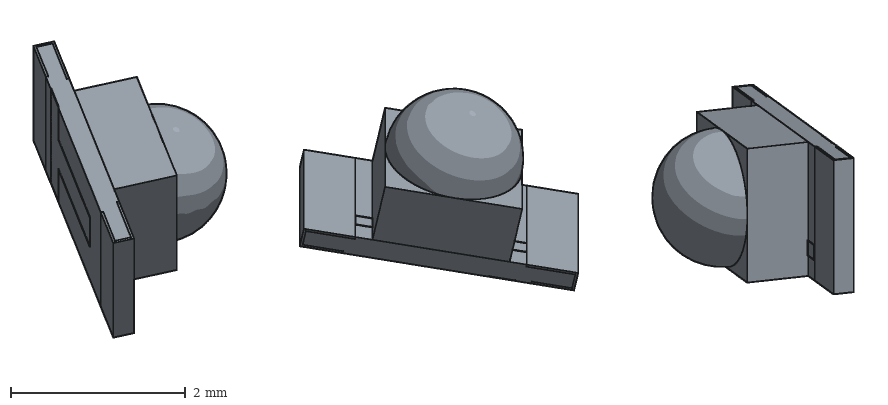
import cadquery as cq


board_length = 3.2
board_width = 1.6
board_thickness = 0.25

plating_thickness = 0.03
solder_pad_length = 0.5
top_pad_length = 0.6

mark_depth = 0.01
mark_bar_start = -0.912
mark_bar_width = 0.3
mark_stem_length = 1.265
mark_stem_width = 0.5

lens_width = board_width
lens_block_height = 0.75
dome_radius = lens_width / 2

trace_thickness = 0.01
trace_width = 0.18
trace_center_z = -0.465
trace_length = board_length / 2 - top_pad_length - lens_width / 2


def box_between(x_range, y_range, z_range):
    """Axis-aligned box given its (low, high) limits on each axis."""
    (x0, x1), (y0, y1), (z0, z1) = x_range, y_range, z_range
    return cq.Workplane("XY").box(x1 - x0, y1 - y0, z1 - z0, centered=False).translate((x0, y0, z0))


def centered_range(width, center=0.0):
    """(low, high) limits of a width placed about a centre."""
    return (center - width / 2, center + width / 2)


def make_terminal(side):
    """C-shaped plating wrapped around one end of the board; side is -1 or +1 along X."""
    end_x = side * board_length / 2
    inner_end_x = end_x - side * plating_thickness
    solder_edge_x = end_x - side * solder_pad_length
    top_edge_x = end_x - side * top_pad_length
    top_pad_y = board_thickness - plating_thickness
    return (
        cq.Workplane("XY")
        .moveTo(solder_edge_x, 0)
        .lineTo(end_x, 0)
        .lineTo(end_x, board_thickness)
        .lineTo(top_edge_x, board_thickness)
        .lineTo(top_edge_x, top_pad_y)
        .lineTo(inner_end_x, top_pad_y)
        .lineTo(inner_end_x, plating_thickness)
        .lineTo(solder_edge_x, plating_thickness)
        .close()
        .extrude(board_width / 2, both=True)
    )


def make_polarity_mark():
    """T-shaped inlay: a bar across the board with a stem pointing to +X."""
    bar_end = mark_bar_start + mark_bar_width
    stem_end = bar_end + mark_stem_length
    depth_range = (0, mark_depth)
    bar = box_between((mark_bar_start, bar_end), depth_range, centered_range(board_width))
    stem = box_between((bar_end, stem_end), depth_range, centered_range(mark_stem_width))
    return bar.union(stem)


def make_board(inlays):
    """Board with recesses that match the bodies set flush into it."""
    board = box_between(
        centered_range(board_length), (0, board_thickness), centered_range(board_width)
    )
    for inlay in inlays:
        board = board.cut(inlay)
    return board


def make_lens():
    """Square block on the board, topped by a hemisphere as wide as the block."""
    block_top_y = board_thickness + lens_block_height
    block = box_between(
        centered_range(lens_width), (board_thickness, block_top_y), centered_range(lens_width)
    )
    dome = (
        cq.Workplane("XY")
        .moveTo(0, block_top_y)
        .lineTo(dome_radius, block_top_y)
        .radiusArc((0, block_top_y + dome_radius), -dome_radius)
        .close()
        .revolve(360, axisStart=(0, 0), axisEnd=(0, 1))
    )
    return block.union(dome)


def make_trace(side):
    """Thin strip on the lens side of the board, between the lens and one terminal."""
    center_x = side * (lens_width + trace_length) / 2
    return box_between(
        centered_range(trace_length, center_x),
        (board_thickness, board_thickness + trace_thickness),
        centered_range(trace_width, trace_center_z),
    )


sides = (-1, 1)
terminals = [make_terminal(side) for side in sides]
traces = [make_trace(side) for side in sides]
polarity_mark = make_polarity_mark()
board = make_board([*terminals, polarity_mark])
lens = make_lens()

bodies = [board, *terminals, polarity_mark, lens, *traces]
result = cq.Compound.makeCompound([body.solids().val() for body in bodies])